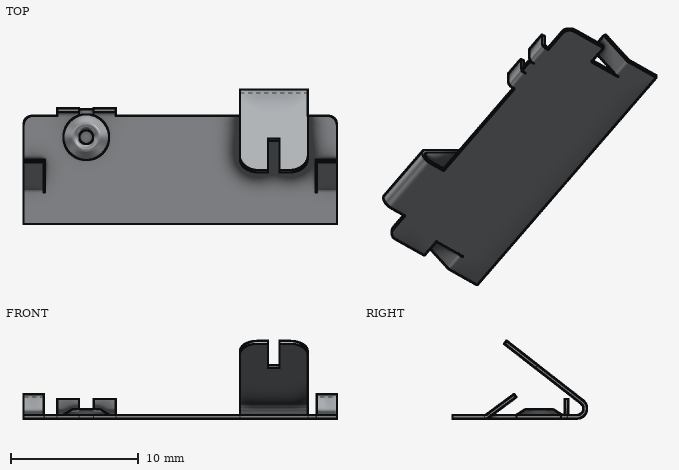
import cadquery as cq
import math

thickness = 0.3
plate_length = 24.51
plate_depth = 8.48
plate_corner_radius = 0.7
left_edge = -plate_length / 2
right_edge = plate_length / 2

overall_depth = 10.54
overall_height = 6.1
clip_width = 5.32
clip_right_margin = 2.28
clip_inner_radius = 0.5
clip_angle = 142.1
clip_tip_radius = 1.4
clip_slot_width = 0.88
clip_slot_depth = 3.1

side_tab_width = 1.6
side_tab_bend_start = 2.55
side_tab_inner_radius = 0.2
side_tab_angle = 36.5
side_tab_leg = 2.68
relief_width = 1.65
relief_start = 2.5
relief_end = 5.03

rear_lip_start = left_edge + 2.62
rear_lip_width = 4.6
rear_lip_end = 9.0
rear_tab_width = 1.73
rear_tab_outer_face = 9.08
rear_tab_height = 1.55
rear_tab_angle = 90
rear_tab_inner_radius = 0.15

ring_x = left_edge + 4.91
ring_y = 6.8
ring_base_radius = 1.79
ring_shoulder_radius = 1.17
ring_floor_radius = 0.54
ring_height = 0.45
ring_shoulder_height = 0.4


def flat_sheet(x_start, x_end, y_start, y_end):
    """Rectangle of flat sheet lying on Z = 0."""
    return (
        cq.Workplane("XY")
        .box(x_end - x_start, y_end - y_start, thickness, centered=False)
        .translate((x_start, y_start, 0))
    )


def bend(x_start, width, y_start, inner_radius, angle):
    """Sheet leaving the plate towards +Y and curling upwards through the angle."""
    outer_radius = inner_radius + thickness

    def arc_point(radius, degrees):
        turn = math.radians(degrees)
        return (y_start + radius * math.sin(turn), outer_radius - radius * math.cos(turn))

    return (
        cq.Workplane("YZ", origin=(x_start, 0, 0))
        .moveTo(*arc_point(outer_radius, 0))
        .threePointArc(arc_point(outer_radius, angle / 2), arc_point(outer_radius, angle))
        .lineTo(*arc_point(inner_radius, angle))
        .threePointArc(arc_point(inner_radius, angle / 2), arc_point(inner_radius, 0))
        .close()
        .extrude(width)
    )


def leg_workplane(x_start, y_start, inner_radius, angle):
    """Plane on the outer face at the end of a bend: local X across, local Y along the leg."""
    outer_radius = inner_radius + thickness
    turn = math.radians(angle)
    origin = (
        x_start,
        y_start + outer_radius * math.sin(turn),
        outer_radius * (1 - math.cos(turn)),
    )
    normal = (0, -math.sin(turn), math.cos(turn))
    return cq.Workplane(cq.Plane(origin=origin, xDir=(1, 0, 0), normal=normal))


def bent_tab(x_start, width, y_start, inner_radius, angle, leg):
    """Bend followed by a plain rectangular leg."""
    curl = bend(x_start, width, y_start, inner_radius, angle)
    plane = leg_workplane(x_start, y_start, inner_radius, angle)
    return curl.union(plane.rect(width, leg, centered=False).extrude(thickness))


def make_plate():
    plate = flat_sheet(left_edge, right_edge, 0, plate_depth)
    plate = plate.edges("|Z and >Y").fillet(plate_corner_radius)
    for relief_x in (left_edge, right_edge - relief_width):
        plate = plate.cut(flat_sheet(relief_x, relief_x + relief_width, relief_start, relief_end))
    return plate


def make_side_tabs():
    tabs = cq.Workplane("XY")
    for tab_x in (left_edge, right_edge - side_tab_width):
        root = flat_sheet(tab_x, tab_x + side_tab_width, relief_start, side_tab_bend_start)
        tab = bent_tab(
            tab_x, side_tab_width, side_tab_bend_start,
            side_tab_inner_radius, side_tab_angle, side_tab_leg,
        )
        tabs = tabs.add(root).add(tab)
    return tabs.combine()


def make_rear_tabs():
    outer_radius = rear_tab_inner_radius + thickness
    bend_start = rear_tab_outer_face - outer_radius
    lip_right = rear_lip_start + rear_lip_width
    second_tab = lip_right - rear_tab_width
    tabs = flat_sheet(rear_lip_start, lip_right, plate_depth, bend_start)
    tabs = tabs.union(flat_sheet(rear_lip_start + rear_tab_width, second_tab, bend_start, rear_lip_end))
    for tab_x in (rear_lip_start, second_tab):
        tab = bent_tab(
            tab_x, rear_tab_width, bend_start,
            rear_tab_inner_radius, rear_tab_angle, rear_tab_height - outer_radius,
        )
        tabs = tabs.union(tab)
    return tabs


def make_clip():
    outer_radius = clip_inner_radius + thickness
    bend_start = overall_depth - outer_radius
    clip_right = right_edge - clip_right_margin
    clip_left = clip_right - clip_width
    turn = math.radians(clip_angle)
    leg = (overall_height - outer_radius * (1 - math.cos(turn))) / math.sin(turn)

    root = flat_sheet(clip_left, clip_right, plate_depth, bend_start)
    curl = bend(clip_left, clip_width, bend_start, clip_inner_radius, clip_angle)
    plane = leg_workplane(clip_left, bend_start, clip_inner_radius, clip_angle)
    blade = plane.rect(clip_width, leg, centered=False).extrude(thickness)
    corners = blade.edges(cq.selectors.ParallelDirSelector(plane.plane.zDir))
    blade = corners.edges(">Z").fillet(clip_tip_radius)
    slot = (
        plane.center((clip_width - clip_slot_width) / 2, leg - clip_slot_depth)
        .rect(clip_slot_width, clip_slot_depth, centered=False)
        .extrude(thickness)
    )
    return root.union(curl).union(blade.cut(slot))


def make_ring():
    """Conical flank and rounded shoulder outside, quarter-round lip inside, on a vertical axis."""
    crest_radius = ring_floor_radius + ring_height
    lip_diagonal = ring_height * math.sqrt(0.5)
    return (
        cq.Workplane("XZ", origin=(ring_x, ring_y, thickness))
        .moveTo(ring_floor_radius, -thickness)
        .lineTo(ring_base_radius, -thickness)
        .lineTo(ring_base_radius, 0)
        .lineTo(ring_shoulder_radius, ring_shoulder_height)
        .tangentArcPoint((crest_radius, ring_height), relative=False)
        .threePointArc((crest_radius - lip_diagonal, lip_diagonal), (ring_floor_radius, 0))
        .close()
        .revolve(360, (0, 0, 0), (0, 1, 0))
    )


result = make_plate()
for feature in (make_side_tabs(), make_rear_tabs(), make_clip(), make_ring()):
    result = result.union(feature)